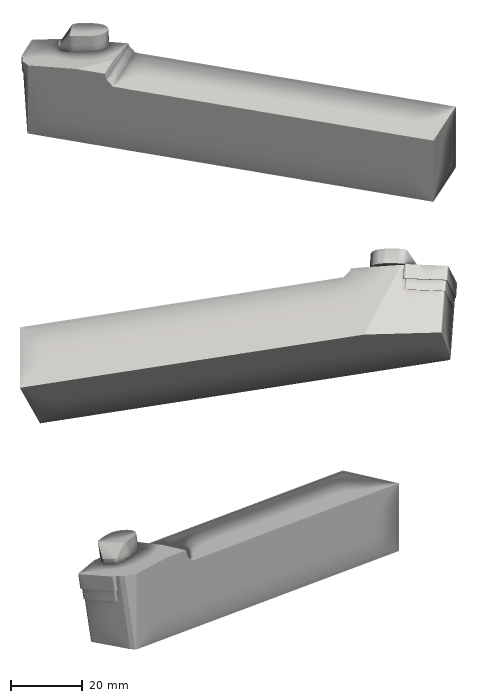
import cadquery as cq
import math

length = 125.0
width = 20.0
shank_height = 20.0

head_height = 23.7
head_end = 27.4
step_corner_x = 28.0
step_corner_z = 21.9
step_end = 29.9
front_chamfer = 4.6

seat_slope = 0.1
seat_line_start = 19.0
seat_plane = cq.Plane(
    origin=(0, 0, head_height - seat_slope * seat_line_start),
    xDir=(1, 0, seat_slope),
    normal=(-seat_slope, seat_slope, 1),
)

insert_side = 12.6
insert_corner = (-0.2, 17.5)
flank_angle = 14.0
front_angle = -85.5
insert_thickness = 4.4
insert_radius = 0.7
shim_thickness = 3.2
shim_inset = 0.4
head_inset = 0.6

nose_face_end = (1.6, 3.9)
nose_bevel_end = (3.9, -1.7)

clamp_height = 5.2
clamp_tip = (8.9, 15.1)
clamp_tip_side = (9.9, 11.6)
clamp_near_front = (14.4, 10.4)
clamp_near_end = (19.7, 11.6)
clamp_round_middle = (23.2, 16.0)
clamp_far_end = (19.7, 20.2)
clamp_far_middle = (17.7, 20.4)
clamp_far_front = (12.6, 19.5)
ramp_foot = 9.2
ramp_foot_height = 1.5
ramp_top = 12.4
ramp_turn = 13.0
clamp_side_radius = 3.1
clamp_gap = 0.7
foot_end = 11.7
post_center = (17.9, 15.9)
post_radius = 2.5

reach = 187.4


def along(angle, distance):
    """Step in the seat plane at an angle from its u axis."""
    turn = math.radians(angle)
    return cq.Vector(distance * math.cos(turn), distance * math.sin(turn))


def rhombus(inset):
    """Corners of the insert outline moved inward by a constant inset."""
    corner_angle = flank_angle - front_angle
    shift = inset / math.sin(math.radians(corner_angle))
    side = insert_side - 2 * shift
    start = cq.Vector(*insert_corner) + along(flank_angle, shift) + along(front_angle, shift)
    flank = along(flank_angle, side)
    front = along(front_angle, side)
    corners = [start, start + front, start + front + flank, start + flank]
    return [(corner.x, corner.y) for corner in corners]


def seat_block(inset, top, thickness):
    """Rounded rhombic plate whose top lies at a height above the seat plane."""
    return (
        cq.Workplane(seat_plane)
        .workplane(offset=top - thickness)
        .polyline(rhombus(inset))
        .close()
        .extrude(thickness)
        .edges(cq.selectors.ParallelDirSelector(seat_plane.zDir))
        .fillet(insert_radius)
    )


def make_blank():
    """Shank and head with the step and the vertical front chamfer."""
    profile = [
        (0, 0),
        (length, 0),
        (length, shank_height),
        (step_end, shank_height),
        (step_corner_x, step_corner_z),
        (head_end, head_height),
        (0, head_height),
    ]
    blank = cq.Workplane("XZ").polyline(profile).close().extrude(-width)
    chamfer = (
        cq.Workplane("XY")
        .polyline([(0, 0), (front_chamfer, 0), (0, front_chamfer)])
        .close()
        .extrude(head_height)
    )
    return blank.cut(chamfer)


def trim_head(blank):
    """Slope the top to the seat plane and the front walls square to it."""
    above_seat = cq.Workplane(seat_plane).rect(reach, reach).extrude(reach)
    corner = cq.Vector(*rhombus(head_inset)[0])
    flank_end = corner + along(flank_angle, reach)
    envelope = (
        cq.Workplane(seat_plane)
        .polyline(
            [
                (corner.x, corner.y),
                nose_face_end,
                nose_bevel_end,
                (nose_bevel_end[0], -reach),
                (reach, -reach),
                (flank_end.x, flank_end.y),
            ]
        )
        .close()
        .extrude(-reach)
    )
    corner_edge = seat_plane.toWorldCoords((corner.x, corner.y, -reach / 2))
    envelope = envelope.edges(cq.selectors.NearestToPointSelector(corner_edge)).fillet(insert_radius)
    return blank.cut(above_seat).intersect(envelope)


def make_clamp():
    """Round-ended clamp with a ramped tip, its back held off the seat by a post."""
    body = (
        cq.Workplane(seat_plane)
        .moveTo(*clamp_tip)
        .lineTo(*clamp_tip_side)
        .lineTo(*clamp_near_front)
        .lineTo(*clamp_near_end)
        .threePointArc(clamp_round_middle, clamp_far_end)
        .lineTo(*clamp_far_middle)
        .lineTo(*clamp_far_front)
        .close()
        .extrude(clamp_height)
    )
    for corner in (clamp_near_front, clamp_far_front):
        side_edge = seat_plane.toWorldCoords((*corner, clamp_height / 2))
        body = body.edges(cq.selectors.NearestToPointSelector(side_edge)).fillet(clamp_side_radius)
    tip_plane = cq.Plane(
        origin=seat_plane.toWorldCoords((0, clamp_tip[1], 0)),
        xDir=seat_plane.xDir,
        normal=-seat_plane.yDir,
    ).rotated((0, ramp_turn, 0))
    ramp = (
        cq.Workplane(tip_plane)
        .polyline(
            [
                (ramp_foot, ramp_foot_height),
                (ramp_top, clamp_height),
                (ramp_top, reach),
                (-reach, reach),
                (-reach, ramp_foot_height),
            ]
        )
        .close()
        .extrude(reach, both=True)
    )
    gap = (
        cq.Workplane(tip_plane)
        .moveTo(foot_end, 0)
        .rect(reach, clamp_gap, centered=False)
        .extrude(reach, both=True)
    )
    post = cq.Workplane(seat_plane).moveTo(*post_center).circle(post_radius).extrude(clamp_height)
    return body.cut(ramp).cut(gap).union(post)


def make_holder():
    """Holder with its shim and clamp, open where the insert sits."""
    shim = seat_block(shim_inset, -insert_thickness, shim_thickness)
    pocket = seat_block(0, 0, insert_thickness)
    return trim_head(make_blank()).union(shim).cut(pocket).union(make_clamp())


insert = seat_block(0, 0, insert_thickness)
holder = make_holder()

result = cq.Compound.makeCompound([holder.val(), insert.val()])